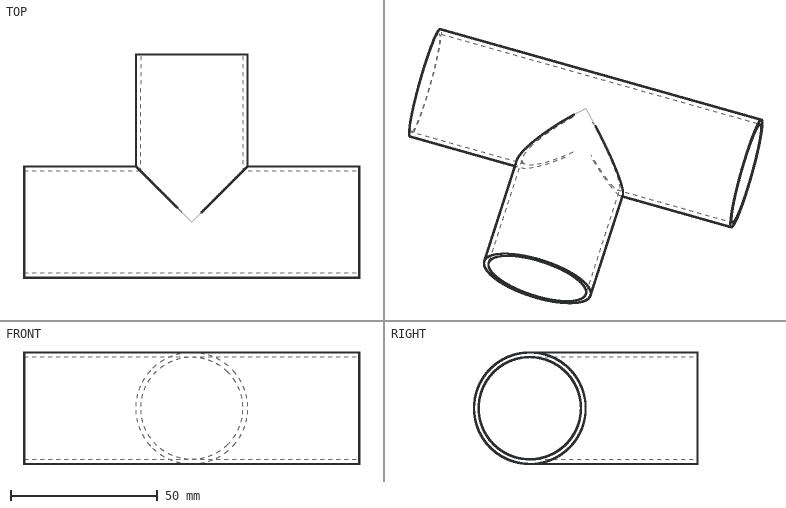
import cadquery as cq

outer_diameter = 38.1
bore_diameter = 34.8
run_length = 3 * outer_diameter
branch_length = run_length / 2


def run_cylinder(diameter):
    """Full-length cylinder along X, centred on the origin."""
    return cq.Workplane("YZ").circle(diameter / 2).extrude(run_length / 2, both=True)


def branch_cylinder(diameter):
    """Cylinder from the run axis to the branch end along +Y."""
    return cq.Workplane("XZ").circle(diameter / 2).extrude(-branch_length)


def tee(diameter):
    """Run and branch cylinders of one diameter joined together."""
    return run_cylinder(diameter).union(branch_cylinder(diameter))


result = tee(outer_diameter).cut(tee(bore_diameter))